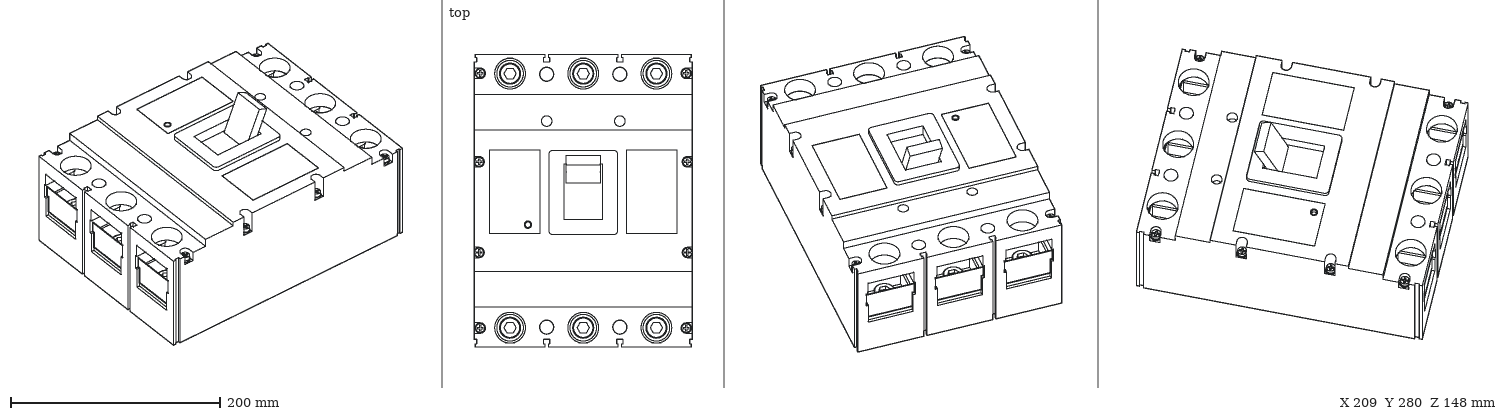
import cadquery as cq
import math


width = 209.0
length = 280.0
total_height = 148.0
end_deck_z = 102.5
shoulder_z = 111.0
top_z = 115.0
shoulder_half_length = 101.5
top_half_length = 67.8

pole_pitch = 70.0
pole_xs = (-pole_pitch, 0, pole_pitch)
divider_xs = [(i - 1.5) * pole_pitch for i in range(4)]
inner_divider_xs = divider_xs[1:3]
terminal_y = 121.5

groove_depth = 7.3
groove_neck_width = 3.0
groove_head_width = 6.0
groove_head_depth = 4.2

mounting_hole_y = 121.0
mounting_hole_diameter = 13.2
pilot_hole_y = 76.2
pilot_hole_diameter = 10.0
pilot_hole_depth = 11.2

chamber_depth = 36.0
chamber_floor_z = 36.0
chamber_shelf_z = 58.0
chamber_brow_z = 73.0
chamber_ceiling_z = 86.8
chamber_lower_half_width = 22.7
chamber_middle_half_width = 25.0
chamber_upper_half_width = 23.2
access_hole_diameter = 29.5

shield_setback = 2.8
shield_thickness = 0.8
shield_top_z = 69.2
bar_setback = 3.0
bar_top_z = 40.0
washer_diameter = 25.5
washer_thickness = 1.5
screw_head_diameter = 20.2
screw_head_height = 13.2
screw_head_chamfer = 0.8
hex_across_corners = 11.8
hex_depth = 4.2

cover_slot_width = 10.0
cover_slot_floor_z = 92.7
end_slot_reach = 11.0
middle_slot_reach = 9.8
cover_slots = (
    (121.8, end_slot_reach),
    (37.2, middle_slot_reach),
    (-49.5, middle_slot_reach),
    (-121.8, end_slot_reach),
)
cover_washer_diameter = 9.5
cover_washer_thickness = 1.7
cover_head_diameter = 8.5
cover_head_height = 4.0
cross_recess_length = 5.5
cross_recess_width = 1.5
cross_recess_depth = 2.0

panel_width = 48.0
panel_length = 79.8
panel_center_x = 65.5
panel_center_y = 8.5
panel_depth = 0.3
button_x = -53.0
button_y = -23.0
button_rim_diameter = 7.0
button_rim_depth = 0.5
button_hole_diameter = 5.3
button_hole_depth = 4.2

frame_width = 65.8
frame_length = 80.5
frame_center_y = 7.8
frame_height = 4.2
frame_corner_radius = 4.0
frame_top_z = top_z + frame_height
window_width = 36.5
window_length = 53.0
window_center_y = 8.5
window_floor_z = 108.0
handle_width = 32.8
handle_thickness = 9.8
handle_tilt = 23.2
handle_tip_y = 34.2
handle_root_overlap = 2.8


def box_between(x0, x1, y0, y1, z0, z1):
    return cq.Workplane("XY").box(x1 - x0, y1 - y0, z1 - z0, centered=False).translate((x0, y0, z0))


def cylinder(x, y, bottom_z, diameter, height):
    return cq.Workplane("XY", origin=(x, y, bottom_z)).circle(diameter / 2).extrude(height)


def both_ends(shape):
    """Pair a shape with its mirror image across the middle of the length."""
    return shape.union(shape.mirror("XZ"))


def stepped_case():
    profile = [
        (-length / 2, 0),
        (-length / 2, end_deck_z),
        (-shoulder_half_length, end_deck_z),
        (-shoulder_half_length, shoulder_z),
        (-top_half_length, shoulder_z),
        (-top_half_length, top_z),
        (0, top_z),
        (0, 0),
    ]
    half = cq.Workplane("YZ").polyline(profile).close().extrude(width / 2, both=True)
    return both_ends(half)


def end_groove(x):
    end_y = -length / 2
    bottom_y = end_y + groove_depth
    neck_half = groove_neck_width / 2
    head_half = groove_head_width / 2
    neck = box_between(x - neck_half, x + neck_half, end_y, bottom_y, 0, end_deck_z)
    head = box_between(x - head_half, x + head_half, bottom_y - groove_head_depth, bottom_y, 0, end_deck_z)
    return neck.union(head)


def chamber_slice(x, setback, depth):
    """Slab with the stepped outline of a terminal opening, starting behind the -Y end face."""
    right_edge = [
        (chamber_lower_half_width, chamber_floor_z),
        (chamber_lower_half_width, chamber_shelf_z),
        (chamber_middle_half_width, chamber_shelf_z),
        (chamber_middle_half_width, chamber_brow_z),
        (chamber_upper_half_width, chamber_brow_z),
        (chamber_upper_half_width, chamber_ceiling_z),
    ]
    left_edge = [(-px, pz) for px, pz in reversed(right_edge)]
    front = cq.Workplane("XZ", origin=(x, setback - length / 2, 0))
    return front.polyline(right_edge + left_edge).close().extrude(-depth)


def terminal_chamber(x):
    access_hole = cylinder(
        x, -terminal_y, chamber_ceiling_z, access_hole_diameter, end_deck_z - chamber_ceiling_z
    )
    return chamber_slice(x, 0, chamber_depth).union(access_hole)


def terminal_lug(x):
    head_z = bar_top_z + washer_thickness
    lug_limits = (x - width, x + width, -length / 2, 0)
    shield = chamber_slice(x, shield_setback, shield_thickness).intersect(
        box_between(*lug_limits, bar_top_z, shield_top_z)
    )
    bar = chamber_slice(x, bar_setback, chamber_depth - bar_setback).intersect(
        box_between(*lug_limits, chamber_floor_z, bar_top_z)
    )
    washer = cylinder(x, -terminal_y, bar_top_z, washer_diameter, washer_thickness)
    head = cylinder(x, -terminal_y, head_z, screw_head_diameter, screw_head_height)
    head = head.faces(">Z").chamfer(screw_head_chamfer)
    head = head.faces(">Z").workplane().polygon(6, hex_across_corners).cutBlind(-hex_depth)
    return shield.union(bar).union(washer).union(head)


def cover_slot(side, y, reach):
    """Round-ended slot, open at the top and through the long side (side is -1 or +1)."""
    half_slot = cover_slot_width / 2
    inner_x = width / 2 - reach + half_slot
    height = top_z - cover_slot_floor_z
    open_end = box_between(inner_x, width / 2, y - half_slot, y + half_slot, cover_slot_floor_z, top_z)
    slot = open_end.union(cylinder(inner_x, y, cover_slot_floor_z, cover_slot_width, height))
    return slot if side > 0 else slot.mirror("YZ")


def cover_screw(side, y, reach):
    x = side * (width / 2 - reach + cover_slot_width / 2)
    head_z = cover_slot_floor_z + cover_washer_thickness
    washer = cylinder(x, y, cover_slot_floor_z, cover_washer_diameter, cover_washer_thickness)
    head = cylinder(x, y, head_z, cover_head_diameter, cover_head_height)
    recess_plane = head.faces(">Z").workplane()
    for bar_size in (
        (cross_recess_length, cross_recess_width),
        (cross_recess_width, cross_recess_length),
    ):
        head = head.cut(recess_plane.rect(*bar_size).extrude(-cross_recess_depth, combine=False))
    return washer.union(head)


def handle():
    """Flat lever leaning toward +Y, its upper edge at the tip reaching the full height."""
    tilt = math.radians(handle_tilt)
    root_z = window_floor_z - handle_root_overlap
    lever_length = (total_height - root_z) / math.cos(tilt)
    along = (math.sin(tilt), math.cos(tilt))
    across = (math.cos(tilt), -math.sin(tilt))
    tip_front = (handle_tip_y, total_height)
    tip_back = (
        handle_tip_y + handle_thickness * across[0],
        total_height + handle_thickness * across[1],
    )
    root_front = (tip_front[0] - lever_length * along[0], tip_front[1] - lever_length * along[1])
    root_back = (tip_back[0] - lever_length * along[0], tip_back[1] - lever_length * along[1])
    outline = [tip_front, tip_back, root_back, root_front]
    return cq.Workplane("YZ").polyline(outline).close().extrude(handle_width / 2, both=True)


case = stepped_case()
for divider_x in divider_xs:
    case = case.cut(both_ends(end_groove(divider_x)))

for pole_x in pole_xs:
    case = case.cut(both_ends(terminal_chamber(pole_x)))
    case = case.union(both_ends(terminal_lug(pole_x)))

for divider_x in inner_divider_xs:
    case = case.cut(both_ends(cylinder(divider_x, mounting_hole_y, 0, mounting_hole_diameter, end_deck_z)))
    pilot_bottom_z = shoulder_z - pilot_hole_depth
    case = case.cut(cylinder(divider_x, pilot_hole_y, pilot_bottom_z, pilot_hole_diameter, pilot_hole_depth))

for side in (-1, 1):
    for slot_y, slot_reach in cover_slots:
        case = case.cut(cover_slot(side, slot_y, slot_reach))
        case = case.union(cover_screw(side, slot_y, slot_reach))

panels = (
    cq.Workplane("XY", origin=(0, panel_center_y, top_z))
    .pushPoints([(-panel_center_x, 0), (panel_center_x, 0)])
    .rect(panel_width, panel_length)
    .extrude(-panel_depth)
)
case = case.cut(panels)
for diameter, depth in (
    (button_rim_diameter, button_rim_depth),
    (button_hole_diameter, button_hole_depth),
):
    case = case.cut(cylinder(button_x, button_y, top_z - depth, diameter, depth))

frame = (
    cq.Workplane("XY", origin=(0, frame_center_y, top_z))
    .rect(frame_width, frame_length)
    .extrude(frame_height)
    .edges("|Z")
    .fillet(frame_corner_radius)
)
window = (
    cq.Workplane("XY", origin=(0, window_center_y, window_floor_z))
    .rect(window_width, window_length)
    .extrude(frame_top_z - window_floor_z)
)
result = case.union(frame).cut(window).union(handle())